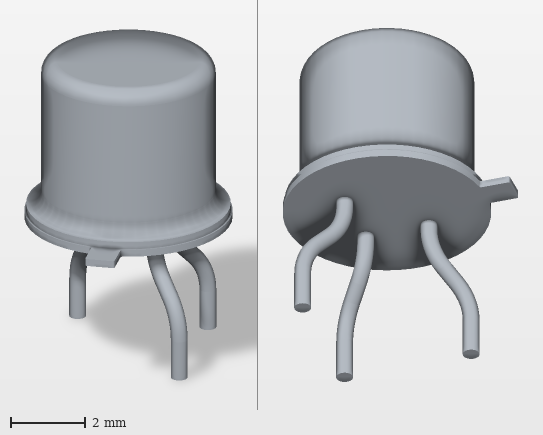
import cadquery as cq
import math

total_height = 8.39
seat_height = 3.79

can_radius = 2.35
edge_radius = 0.4
rim_radius = can_radius + edge_radius
flange_radius = 2.8
step_thickness = 0.2

tab_reach = 3.6
tab_width = 0.805
tab_corner_radius = 0.05
tab_angle = -45.0

lead_radius = 0.23
lead_inner_offset = 1.27
lead_outer_offset = 2.53
lead_tip_length = 1.11
bend_radius = 1.49
bend_angle = math.radians(45)
lead_directions = (0, 90, 180)


def make_can():
    """Solid of revolution: can with a rounded top, flared foot and upper flange step."""
    step_bottom = seat_height + step_thickness
    flare_bottom = step_bottom + step_thickness
    flare_top = flare_bottom + edge_radius
    arc_inset = edge_radius * (1 - math.sqrt(0.5))
    profile = (
        cq.Workplane("XZ")
        .moveTo(0, step_bottom)
        .lineTo(rim_radius, step_bottom)
        .lineTo(rim_radius, flare_bottom)
        .threePointArc((can_radius + arc_inset, flare_bottom + arc_inset), (can_radius, flare_top))
        .lineTo(can_radius, total_height - edge_radius)
        .threePointArc(
            (can_radius - arc_inset, total_height - arc_inset),
            (can_radius - edge_radius, total_height),
        )
        .lineTo(0, total_height)
        .close()
    )
    return profile.revolve(360, (0, 0, 0), (0, 1, 0))


def make_flange():
    """Lower flange disc with the orientation tab and its rounded roots and tips."""
    disc = cq.Workplane("XY").circle(flange_radius).extrude(step_thickness)
    tab = cq.Workplane("XY").box(tab_reach, tab_width, step_thickness, centered=(False, True, False))
    tab = tab.edges("|Z and >X").fillet(tab_corner_radius)
    root_x = math.sqrt(flange_radius**2 - (tab_width / 2) ** 2)
    root_zone = cq.selectors.BoxSelector(
        (root_x - tab_corner_radius, -tab_width, -step_thickness),
        (root_x + tab_corner_radius, tab_width, 2 * step_thickness),
    )
    flange = disc.union(tab).edges("|Z").edges(root_zone).fillet(tab_corner_radius)
    return flange.rotate((0, 0, 0), (0, 0, 1), tab_angle).translate((0, 0, seat_height))


def make_lead(direction):
    """Round lead that steps outward through two opposite bends, in the given direction."""
    bend_shift = bend_radius * (1 - math.cos(bend_angle))
    bend_rise = bend_radius * math.sin(bend_angle)
    slant_run = lead_outer_offset - lead_inner_offset - 2 * bend_shift
    slant_rise = slant_run * math.tan(bend_angle)
    mid_shift = bend_radius * (1 - math.cos(bend_angle / 2))
    mid_rise = bend_radius * math.sin(bend_angle / 2)

    slant_bottom = lead_tip_length + bend_rise
    slant_top = slant_bottom + slant_rise
    stub_bottom = slant_top + bend_rise
    path = (
        cq.Workplane("XZ")
        .moveTo(lead_outer_offset, 0)
        .lineTo(lead_outer_offset, lead_tip_length)
        .threePointArc(
            (lead_outer_offset - mid_shift, lead_tip_length + mid_rise),
            (lead_outer_offset - bend_shift, slant_bottom),
        )
        .lineTo(lead_inner_offset + bend_shift, slant_top)
        .threePointArc(
            (lead_inner_offset + mid_shift, stub_bottom - mid_rise),
            (lead_inner_offset, stub_bottom),
        )
        .lineTo(lead_inner_offset, seat_height + step_thickness / 2)
    )
    lead = cq.Workplane("XY").center(lead_outer_offset, 0).circle(lead_radius).sweep(path)
    return lead.rotate((0, 0, 0), (0, 0, 1), direction)


result = make_can().union(make_flange())
for lead_direction in lead_directions:
    result = result.union(make_lead(lead_direction))